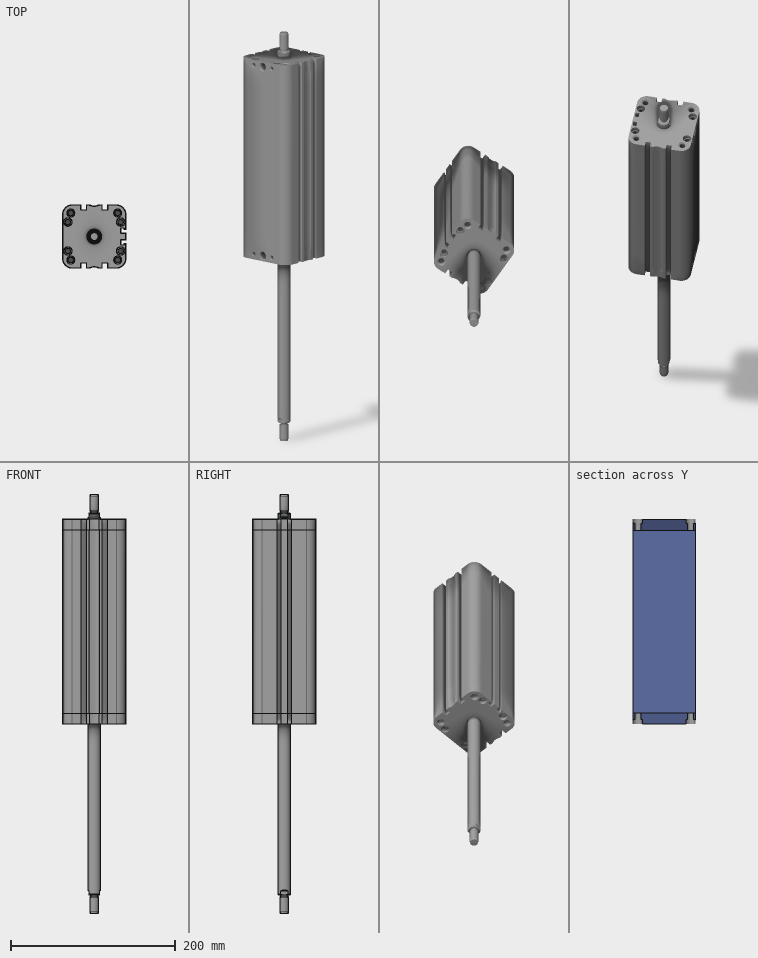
import cadquery as cq


side = 77.0
half = side / 2
corner_radius = 11.5
slot_width = 6.5
slot_depth = 6.0
slot_offset = 13.0
groove_half_width = 5.5
groove_depth = 1.5
groove_chamfer_width = 0.75
groove_chamfer_depth = 0.5
sensor_slot_inner = 4.0
sensor_slot_outer = 10.0
sensor_slot_depth = 6.0
sensor_lip_width = 1.5
sensor_lip_thickness = 2.0

overall_length = 509.0
body_length = 249.0
cap_height = 13.0
barrel_length = body_length - 2 * cap_height

rod_diameter = 16.0
shoulder_chamfer = 1.25
flat_length = 5.0
flat_runout = 1.5
across_flats = 13.0
thread_diameter = 10.5
tip_diameter = 9.5
tip_length = 2.5
neck_diameter = 8.5
neck_length = 2.5
stud_length = 22.5
rod_reach = 7.5
rod_length = overall_length - 2 * stud_length
rod_bottom = body_length + rod_reach - rod_length

rod_mouth_diameter = 18.0
corner_hole_offset = 28.5
corner_hole_diameter = 6.5
corner_mouth_diameter = 9.5
corner_hole_depth = 10.0
screw_hole_x = 32.0
screw_hole_y = 17.55
screw_hole_diameter = 6.5
screw_seat_diameter = 10.0
screw_seat_depth = 5.0
port_diameter = 8.5
port_mouth_diameter = 10.5
port_depth = 10.0
side_hole_diameter = 3.5
side_hole_mouth_diameter = 5.5
side_hole_depth = 5.0
side_hole_offset = 15.0


def edge_slots(length):
    """Two rectangular slots on the -Y side."""
    centres = [(-slot_offset, slot_depth / 2 - half), (slot_offset, slot_depth / 2 - half)]
    return cq.Workplane("XY").pushPoints(centres).rect(slot_width, slot_depth).extrude(length)


def edge_groove(length, chamfered):
    """Round groove in the middle of the -Y side, with or without chamfered edges."""
    edge_depth = groove_chamfer_depth if chamfered else 0
    groove = (
        cq.Workplane("XY")
        .moveTo(-groove_half_width, edge_depth - half)
        .threePointArc((0, groove_depth - half), (groove_half_width, edge_depth - half))
    )
    if chamfered:
        rim = groove_half_width + groove_chamfer_width
        groove = groove.lineTo(rim, -half).lineTo(-rim, -half)
    return groove.close().extrude(length)


def sensor_slot(length):
    """Slot on the +X side at positive Y, with a lip along its outer edge."""
    lip_x = half - sensor_lip_thickness
    lip_y = sensor_slot_outer - sensor_lip_width
    floor_x = half - sensor_slot_depth
    outline = [
        (half, sensor_slot_inner),
        (floor_x, sensor_slot_inner),
        (floor_x, sensor_slot_outer),
        (lip_x, sensor_slot_outer),
        (lip_x, lip_y),
        (half, lip_y),
    ]
    return cq.Workplane("XY").polyline(outline).close().extrude(length)


def make_section(length, chamfered_groove):
    """Square bar from Z = 0 with its lengthwise slots and the hole for the rod."""
    bar = cq.Workplane("XY").rect(side, side).extrude(length).edges("|Z").fillet(corner_radius)
    for cutter in (edge_slots(length), edge_groove(length, chamfered_groove), sensor_slot(length)):
        bar = bar.cut(cutter).cut(cutter.mirror("XZ"))
    rod_hole = cq.Workplane("XY").circle(rod_diameter / 2).extrude(length)
    return bar.cut(rod_hole)


def make_barrel():
    """Slotted bar between the two caps."""
    return make_section(barrel_length, True).translate((0, 0, cap_height))


def countersunk_hole(plane, diameter, mouth_diameter, depth):
    """Blind hole cutter going against the plane normal, with a 45 degree mouth."""
    sink_depth = (mouth_diameter - diameter) / 2
    hole = cq.Workplane(plane).circle(diameter / 2).extrude(-depth)
    mouth = cq.Workplane(plane).circle(mouth_diameter / 2).extrude(-sink_depth, taper=45)
    return hole.union(mouth)


def make_cap():
    """Cap with its outer face up at Z = cap_height."""
    cap = make_section(cap_height, False)
    top = cq.Plane((0, 0, cap_height))
    cap = cap.cut(countersunk_hole(top, rod_diameter, rod_mouth_diameter, cap_height))
    for x_sign in (-1, 1):
        for y_sign in (-1, 1):
            corner = (x_sign * corner_hole_offset, y_sign * corner_hole_offset, cap_height)
            cap = cap.cut(countersunk_hole(
                cq.Plane(corner), corner_hole_diameter, corner_mouth_diameter, corner_hole_depth))
            screw = cq.Plane((x_sign * screw_hole_x, y_sign * screw_hole_y, cap_height))
            cap = cap.cut(cq.Workplane(screw).circle(screw_seat_diameter / 2).extrude(-screw_seat_depth))
            cap = cap.cut(cq.Workplane(screw).circle(screw_hole_diameter / 2).extrude(-cap_height))

    side_holes = [
        (-side_hole_offset, side_hole_diameter, side_hole_mouth_diameter, side_hole_depth),
        (0, port_diameter, port_mouth_diameter, port_depth),
        (side_hole_offset, side_hole_diameter, side_hole_mouth_diameter, side_hole_depth),
    ]
    for y, diameter, mouth_diameter, depth in side_holes:
        plane = cq.Plane((-half, y, cap_height / 2), xDir=(0, 1, 0), normal=(-1, 0, 0))
        cap = cap.cut(countersunk_hole(plane, diameter, mouth_diameter, depth))
    return cap


def make_stud():
    """Neck, thread and conical tip rising from Z = 0."""
    neck = cq.Workplane("XY").circle(neck_diameter / 2).extrude(neck_length)
    thread = cq.Workplane("XY", origin=(0, 0, neck_length)).circle(thread_diameter / 2)
    thread = thread.extrude(stud_length - neck_length)
    thread = thread.faces(">Z").chamfer(tip_length, (thread_diameter - tip_diameter) / 2)
    return neck.union(thread)


def wrench_flat():
    """Cutter for the flat on the +X side of a shoulder at Z = 0, ending in a slope."""
    flat_x = across_flats / 2
    outline = [
        (flat_x, 0),
        (flat_x, -flat_length),
        (flat_x + flat_runout, -flat_length - flat_runout),
        (flat_x + flat_runout, 0),
    ]
    return cq.Workplane("XZ").polyline(outline).close().extrude(rod_diameter / 2, both=True)


def make_rod():
    """Rod with the same shoulder, flats and stud at both ends."""
    rod = cq.Workplane("XY").circle(rod_diameter / 2).extrude(rod_length / 2)
    rod = rod.faces(">Z").chamfer(shoulder_chamfer)
    flat = wrench_flat().translate((0, 0, rod_length / 2))
    rod = rod.cut(flat).cut(flat.mirror("YZ"))
    rod = rod.union(make_stud().translate((0, 0, rod_length / 2)))
    rod = rod.union(rod.mirror("XY"))
    return rod.translate((0, 0, rod_bottom + rod_length / 2))


barrel = make_barrel()
lower_cap = make_cap().mirror("XY").translate((0, 0, cap_height))
upper_cap = make_cap().translate((0, 0, body_length - cap_height))
rod = make_rod()

result = cq.Compound.makeCompound([barrel.val(), lower_cap.val(), upper_cap.val(), rod.val()])